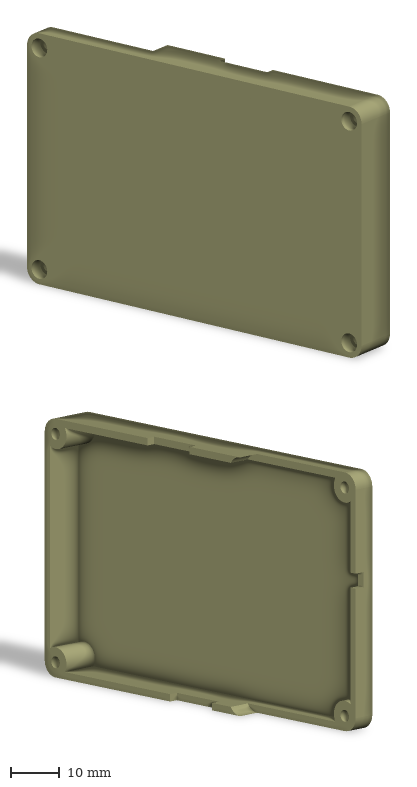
import cadquery as cq

length = 85.5
height = 54.0
depth = 9.7
wall = 1.5
floor_thickness = 1.5
corner_radius = 3.2

low_rim_depth = 4.8
tall_wall_start = 28.6
step_end = tall_wall_start + corner_radius

screw_diameter = 2.5
head_diameter = 4.0
head_depth = 3.0

notch_width = 12.2
notch_floor = 7.8
top_notch_start = 43.35
bottom_notch_start = 36.8
slot_floor = 2.6
slot_bottom = 30.2
slot_height = 3.2


def box(x, y, z, size_x, size_y, size_z):
    """Box placed by its lowest corner."""
    return cq.Workplane("XY").box(size_x, size_y, size_z, centered=False).translate((x, y, z))


def rounded_block(size_x, start_y, end_y):
    """Full-height block from X = 0 with rounded corners along Y."""
    block = box(0, start_y, 0, size_x, end_y - start_y, height)
    return block.edges("|Y").fillet(corner_radius)


def cylinders(diameter, cylinder_depth):
    """Cylinders at the four screw positions, running from Y = 0 towards +Y."""
    positions = [
        (x, z)
        for x in (corner_radius, length - corner_radius)
        for z in (corner_radius, height - corner_radius)
    ]
    return cq.Workplane("XZ").pushPoints(positions).circle(diameter / 2).extrude(-cylinder_depth)


body = rounded_block(length, 0, depth)
cavity = box(
    wall, floor_thickness, wall,
    length - 2 * wall, depth - floor_thickness, height - 2 * wall,
)
body = body.cut(cavity.cut(cylinders(2 * corner_radius, depth)))

step = rounded_block(step_end, low_rim_depth, depth)
step = step.union(box(0, low_rim_depth, 0, tall_wall_start, depth - low_rim_depth, height))
body = body.cut(step)

for notch_start, wall_bottom in ((top_notch_start, height - wall), (bottom_notch_start, 0)):
    body = body.cut(box(notch_start, notch_floor, wall_bottom, notch_width, depth - notch_floor, wall))

body = body.cut(box(0, slot_floor, slot_bottom, wall, low_rim_depth - slot_floor, slot_height))

result = body.cut(cylinders(screw_diameter, depth)).cut(cylinders(head_diameter, head_depth))